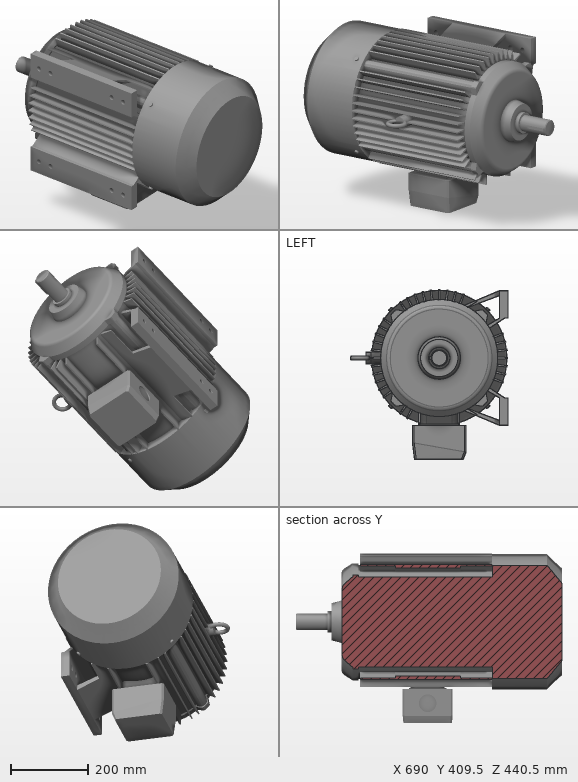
import cadquery as cq
import math


OVERALL_LENGTH = 690.0
COLLAR_START = 81.5
HUB_START = 92.0
CAP_START = 119.0
CAP_RIM_START = 146.0
FRAME_START = 163.0
FIN_START = 166.0
FOOT_START = 175.0
COWL_START = 508.0
COWL_TAPER_START = 651.0

SHAFT_RADIUS = 21.5
SHAFT_CHAMFER = 2.0
COLLAR_RADIUS = 27.5
KEY_END = 53.0
KEY_WIDTH = 8.0
KEY_TOP = 25.0

HUB_FRONT_RADIUS = 48.0
HUB_BASE_RADIUS = 55.0
CAP_FACE_RADIUS = 127.0
CAP_SHOULDER_START = 123.5
CAP_SHOULDER_RADIUS = 137.0
CAP_RADIUS = 152.0

FRAME_RADIUS = 148.0
ROOT_OVERLAP = 3.5
FIN_TIP_RADIUS = 177.5
FIN_TIP_WIDTH = 3.5
FIN_ROOT_WIDTH = 5.5
FIN_PITCH = 7
SIDE_FIN_OFFSET = 51.0
SIDE_FIN_WIDTH = 4.0

CAP_LUG_FLANK = [(91.0, 121.5), (110.0, 125.0), (113.0, 124.0)]
FRAME_LUG_FLANK = [(96.0, 119.5), (109.0, 121.5), (115.0, 119.0)]
LUG_BASE = 90.0
LUG_ANGLES = (45, 135, 225, 315)

COWL_RADIUS = 175.0
COWL_END_RADIUS = 138.0
SCREW_X = 529.5
SCREW_RADIUS = 5.5
SCREW_TOP_RADIUS = 180.0

FOOT_BOTTOM = -179.0
FOOT_TOP = -156.0
FOOT_OUTER_Z = 174.5
FOOT_INNER_Z = 103.5
FOOT_HOLE_RADIUS = 7.0
FOOT_HOLE_END_OFFSET = 27.5
FOOT_HOLE_SPACING = 38.0
INNER_LEG_ROOT_TOP = (-121.0, 82.0)
INNER_LEG_ROOT_BOTTOM = (-125.0, 74.0)
INNER_LEG_HEEL_Y = -170.0
OUTER_LEG_ROOT_TOP = (-62.0, 135.0)
OUTER_LEG_ROOT_BOTTOM = (-65.5, 128.0)
OUTER_LEG_DEPTH = 13.0
LEG_RIB_TIP_Y = -97.0
LEG_RIB_TIP_DEPTH = 4.0
OUTER_LEG_START = 257.5
OUTER_LEG_END = 427.0

EYE_X = 344.5
EYE_CENTER_Y = 203.0
EYE_RING_RADIUS = 22.0
EYE_TUBE_RADIUS = 5.5
EYE_STEM_RADIUS = 15.0
EYE_STEM_TOP = 190.0
EYE_BOSS_RADIUS = 16.0
EYE_BOSS_TOP = 177.0

BOX_X = 341.5
BOX_LENGTH = 130.0
BOX_WIDTH = 139.5
BOX_CORNER = 5.0
BOX_TOP_Z = -174.5
BOX_BOTTOM_Z = -263.0
LID_HIGH_Z = -219.5
LID_LOW_Z = -243.5
LID_END_INSET = 2.0
LID_BACK_INSET = 5.5
LID_FRONT_INSET = 7.5
ENTRY_RADIUS = 23.0
ENTRY_Z = -211.0
ENTRY_DEPTH = 3.5
NECK_LENGTH = 88.5
NECK_WIDTH = 98.0
NECK_CORNER_RADIUS = 16.5
NECK_FLANGE_TOP = -171.0
NECK_FLANGE_MARGIN = 4.0


def section_at(x):
    """A plane across the shaft at x, drawn in (Y, Z)."""
    return cq.Workplane("YZ", origin=(x, 0, 0))


def prism_along_x(points, x_start, x_end):
    """Extrude a closed (Y, Z) outline between two stations."""
    return section_at(x_start).polyline(points).close().extrude(x_end - x_start)


def make_shaft():
    shaft = (
        section_at(0).circle(SHAFT_RADIUS).extrude(COLLAR_START)
        .faces("<X").chamfer(SHAFT_CHAMFER)
    )
    collar = section_at(COLLAR_START).circle(COLLAR_RADIUS).extrude(HUB_START - COLLAR_START)
    key = (
        section_at(SHAFT_CHAMFER).center(KEY_TOP / 2, 0)
        .rect(KEY_TOP, KEY_WIDTH).extrude(KEY_END - SHAFT_CHAMFER)
    )
    return shaft.union(collar).union(key).solids()


def make_core():
    """End cap, frame drum and fan cowl as one turned shape."""
    return (
        cq.Workplane("XY")
        .moveTo(HUB_START, 0)
        .lineTo(HUB_START, HUB_FRONT_RADIUS)
        .lineTo(CAP_START, HUB_BASE_RADIUS)
        .lineTo(CAP_START, CAP_FACE_RADIUS)
        .tangentArcPoint((CAP_SHOULDER_START, CAP_SHOULDER_RADIUS), relative=False)
        .lineTo(CAP_RIM_START, CAP_RADIUS)
        .lineTo(FRAME_START, CAP_RADIUS)
        .lineTo(FRAME_START, FRAME_RADIUS)
        .lineTo(COWL_START, FRAME_RADIUS)
        .lineTo(COWL_START, COWL_RADIUS)
        .lineTo(COWL_TAPER_START, COWL_RADIUS)
        .lineTo(OVERALL_LENGTH, COWL_END_RADIUS)
        .lineTo(OVERALL_LENGTH, 0)
        .close()
        .revolve(360, (0, 0, 0), (1, 0, 0))
    )


def fin_angles():
    """Fin directions in degrees from +Y toward +Z."""
    lifting_side = [FIN_PITCH * i for i in range(-5, 6)]
    upper_side = [90 + FIN_PITCH * i for i in range(-5, 4)]
    foot_side = [180 + FIN_PITCH * i for i in range(-3, 4)]
    box_side = [270 + FIN_PITCH * i for i in (4, 5)]
    return lifting_side + upper_side + foot_side + box_side


def make_fins():
    root_radius = FRAME_RADIUS - ROOT_OVERLAP
    fin = prism_along_x([
        (root_radius, -FIN_ROOT_WIDTH / 2),
        (FIN_TIP_RADIUS, -FIN_TIP_WIDTH / 2),
        (FIN_TIP_RADIUS, FIN_TIP_WIDTH / 2),
        (root_radius, FIN_ROOT_WIDTH / 2),
    ], FIN_START, COWL_START)
    return [fin.rotate((0, 0, 0), (1, 0, 0), angle) for angle in fin_angles()]


def make_side_fins():
    """Two upright fins that flank the terminal box neck."""
    outer_y = SIDE_FIN_OFFSET + SIDE_FIN_WIDTH / 2
    tip_z = -math.sqrt(FIN_TIP_RADIUS**2 - outer_y**2)
    root_z = -math.sqrt(FRAME_RADIUS**2 - outer_y**2) + ROOT_OVERLAP
    return [
        section_at(FIN_START).center(side * SIDE_FIN_OFFSET, (tip_z + root_z) / 2)
        .rect(SIDE_FIN_WIDTH, root_z - tip_z).extrude(COWL_START - FIN_START)
        for side in (-1, 1)
    ]


def lug_prism(flank, x_start, x_end):
    """A lug in the +Y +Z corner, symmetric about the diagonal."""
    mirrored_flank = [(z, y) for y, z in reversed(flank)]
    return prism_along_x([(LUG_BASE, LUG_BASE)] + flank + mirrored_flank, x_start, x_end)


def make_lugs():
    cap_lug = lug_prism(CAP_LUG_FLANK, CAP_RIM_START, FRAME_START)
    frame_lug = lug_prism(FRAME_LUG_FLANK, FRAME_START, COWL_START)
    lug = cap_lug.union(frame_lug)
    return [lug.rotate((0, 0, 0), (1, 0, 0), angle - 45) for angle in LUG_ANGLES]


def make_cowl_screws():
    screw = (
        cq.Workplane("XZ", origin=(SCREW_X, 0, 0))
        .circle(SCREW_RADIUS).extrude(-SCREW_TOP_RADIUS)
    )
    return [screw.rotate((0, 0, 0), (1, 0, 0), angle) for angle in LUG_ANGLES]


def make_foot():
    """The +Z foot: a drilled pad, a full-length inner leg and a shorter outer leg."""
    pad = prism_along_x([
        (FOOT_BOTTOM, FOOT_INNER_Z),
        (FOOT_BOTTOM, FOOT_OUTER_Z),
        (FOOT_TOP, FOOT_OUTER_Z),
        (FOOT_TOP, FOOT_INNER_Z),
    ], FOOT_START, COWL_START)
    hole_z = (FOOT_INNER_Z + FOOT_OUTER_Z) / 2
    front_hole = FOOT_START + FOOT_HOLE_END_OFFSET
    rear_hole = COWL_START - FOOT_HOLE_END_OFFSET
    hole_xs = (front_hole, front_hole + FOOT_HOLE_SPACING, rear_hole - FOOT_HOLE_SPACING, rear_hole)
    holes = (
        cq.Workplane("XZ", origin=(0, FOOT_TOP, 0))
        .pushPoints([(x, hole_z) for x in hole_xs])
        .circle(FOOT_HOLE_RADIUS)
        .extrude(FOOT_TOP - FOOT_BOTTOM)
    )
    inner_leg = prism_along_x([
        INNER_LEG_ROOT_TOP,
        (FOOT_TOP, FOOT_INNER_Z),
        (INNER_LEG_HEEL_Y, FOOT_INNER_Z),
        INNER_LEG_ROOT_BOTTOM,
    ], FOOT_START, COWL_START)
    root_y, root_z = OUTER_LEG_ROOT_TOP
    leg_slope = (FOOT_OUTER_Z - root_z) / (FOOT_TOP - root_y)
    outer_leg = prism_along_x([
        OUTER_LEG_ROOT_TOP,
        (FOOT_TOP, FOOT_OUTER_Z),
        (FOOT_TOP, FOOT_OUTER_Z - OUTER_LEG_DEPTH),
        OUTER_LEG_ROOT_BOTTOM,
    ], OUTER_LEG_START, OUTER_LEG_END)
    rib_tip_z = root_z + leg_slope * (LEG_RIB_TIP_Y - root_y)
    leg_rib = prism_along_x([
        OUTER_LEG_ROOT_TOP,
        (LEG_RIB_TIP_Y, rib_tip_z),
        (LEG_RIB_TIP_Y, rib_tip_z - LEG_RIB_TIP_DEPTH),
        OUTER_LEG_ROOT_BOTTOM,
    ], FIN_START, COWL_START)
    return pad.union(inner_leg).union(outer_leg).union(leg_rib).cut(holes)


def make_feet():
    foot = make_foot()
    return [foot, foot.mirror("XY")]


def make_lifting_eye():
    def stem(radius, top):
        bottom = FRAME_RADIUS - ROOT_OVERLAP
        return cq.Workplane("XZ", origin=(EYE_X, bottom, 0)).circle(radius).extrude(bottom - top)

    ring_center = cq.Vector(EYE_X, EYE_CENTER_Y, 0)
    ring = cq.Workplane("XY").add(
        cq.Solid.makeTorus(EYE_RING_RADIUS, EYE_TUBE_RADIUS, ring_center, cq.Vector(0, 0, 1))
    )
    return [stem(EYE_BOSS_RADIUS, EYE_BOSS_TOP), stem(EYE_STEM_RADIUS, EYE_STEM_TOP), ring]


def chamfered_rectangle(x_half, y_min, y_max, height_at):
    """Closed wire around the box at the height that height_at gives for each y."""
    corners = [
        (x_half - BOX_CORNER, y_min), (x_half, y_min + BOX_CORNER),
        (x_half, y_max - BOX_CORNER), (x_half - BOX_CORNER, y_max),
        (BOX_CORNER - x_half, y_max), (-x_half, y_max - BOX_CORNER),
        (-x_half, y_min + BOX_CORNER), (BOX_CORNER - x_half, y_min),
    ]
    return cq.Wire.makePolygon([cq.Vector(BOX_X + x, y, height_at(y)) for x, y in corners], close=True)


def make_terminal_box():
    """A box with a slanted lid line, below which the lid tapers to the bottom."""
    x_half = BOX_LENGTH / 2
    y_half = BOX_WIDTH / 2
    lid_middle_z = (LID_HIGH_Z + LID_LOW_Z) / 2
    lid_slope = (LID_HIGH_Z - LID_LOW_Z) / BOX_WIDTH
    top = chamfered_rectangle(x_half, -y_half, y_half, lambda y: BOX_TOP_Z)
    lid_line = chamfered_rectangle(x_half, -y_half, y_half, lambda y: lid_middle_z + lid_slope * y)
    bottom = chamfered_rectangle(
        x_half - LID_END_INSET, LID_FRONT_INSET - y_half, y_half - LID_BACK_INSET, lambda y: BOX_BOTTOM_Z
    )
    box = cq.Workplane("XY").add(cq.Solid.makeLoft([top, lid_line], True))
    lid = cq.Workplane("XY").add(cq.Solid.makeLoft([lid_line, bottom], True))
    entry = cq.Workplane("XZ", origin=(BOX_X, -y_half, ENTRY_Z)).circle(ENTRY_RADIUS).extrude(-ENTRY_DEPTH)
    return box.union(lid).cut(entry)


def make_box_neck():
    neck = (
        cq.Workplane("XY", origin=(BOX_X, 0, BOX_TOP_Z))
        .rect(NECK_LENGTH, NECK_WIDTH)
        .extrude(FRAME_RADIUS / 2)
        .edges("|Z")
        .fillet(NECK_CORNER_RADIUS)
    )
    flange = (
        cq.Workplane("XY", origin=(BOX_X, 0, BOX_TOP_Z))
        .rect(NECK_LENGTH + 2 * NECK_FLANGE_MARGIN, NECK_WIDTH + 2 * NECK_FLANGE_MARGIN)
        .extrude(NECK_FLANGE_TOP - BOX_TOP_Z)
    )
    return neck.union(flange)


def make_housing():
    housing = make_core()
    parts = make_fins() + make_side_fins() + make_lugs() + make_cowl_screws() + make_feet()
    parts += make_lifting_eye() + [make_box_neck(), make_terminal_box()]
    for part in parts:
        housing = housing.union(part)
    return housing.solids()


shaft = make_shaft()
housing = make_housing()
result = cq.Compound.makeCompound([housing.val(), shaft.val()])